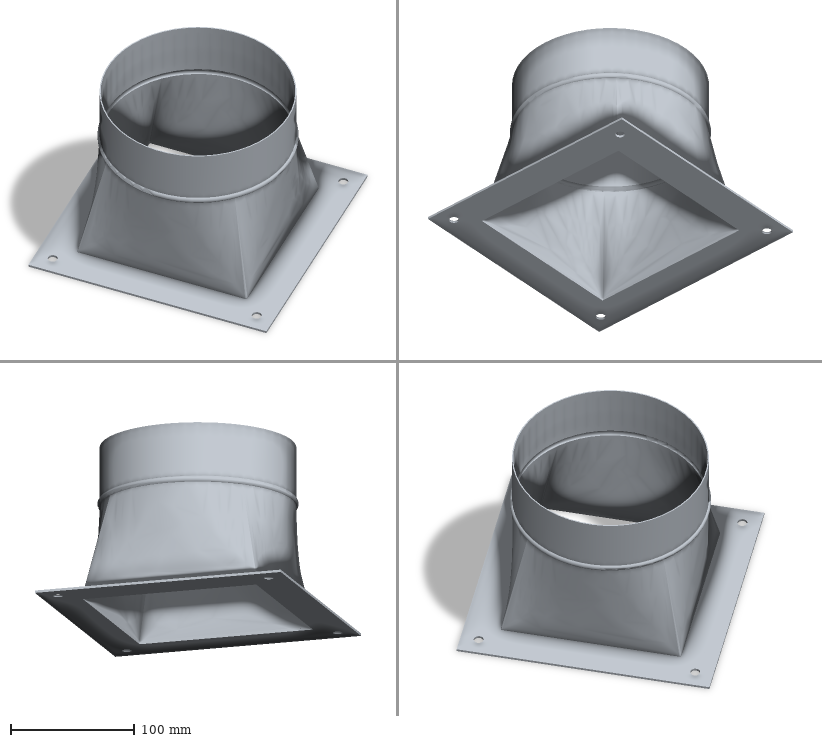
import cadquery as cq
import math

PLATE_SIDE = 210.0
TOTAL_HEIGHT = 140.0

PLATE_THICKNESS = 2.0
HOLE_DIAMETER = 8.0
HOLE_SPACING = 180.0

WALL = 1.0
LIP_HEIGHT = 0.52
SQUARE_SIDE = 150.0
CORNER_RADIUS = 1.5
TUBE_DIAMETER = 160.0
CORNER_ARC_ANGLE = 0.2

BEAD_HEIGHT = 5.2
BEAD_BULGE = 1.7
BEAD_MIDDLE = 92.8

BEAD_BOTTOM = BEAD_MIDDLE - BEAD_HEIGHT / 2
LIP_TOP = PLATE_THICKNESS + LIP_HEIGHT
TUBE_RADIUS = TUBE_DIAMETER / 2


def square_wire(inset, z):
    """Rounded square of straight sides and corner arcs, starting at the +X side."""
    half = SQUARE_SIDE / 2 - inset
    radius = CORNER_RADIUS - inset
    straight = half - radius
    diagonal = straight + radius * math.cos(math.radians(45))
    outline = cq.Workplane("XY", origin=(0, 0, z)).moveTo(half, -straight)
    outline = outline.lineTo(half, straight).threePointArc((diagonal, diagonal), (straight, half))
    outline = outline.lineTo(-straight, half).threePointArc((-diagonal, diagonal), (-half, straight))
    outline = outline.lineTo(-half, -straight).threePointArc((-diagonal, -diagonal), (-straight, -half))
    outline = outline.lineTo(straight, -half).threePointArc((diagonal, -diagonal), (half, -straight))
    return outline.close().val()


def round_wire(inset, z):
    """Circle cut into the same eight pieces as the rounded square."""
    radius = TUBE_RADIUS - inset

    def point(angle):
        return (radius * math.cos(math.radians(angle)), radius * math.sin(math.radians(angle)))

    half_corner = CORNER_ARC_ANGLE / 2
    outline = cq.Workplane("XY", origin=(0, 0, z)).moveTo(*point(-45 + half_corner))
    for side in range(4):
        middle = 90 * side
        outline = outline.threePointArc(point(middle), point(middle + 45 - half_corner))
        outline = outline.threePointArc(point(middle + 45), point(middle + 45 + half_corner))
    return outline.wire().val()


def transition_block(inset):
    """Solid that blends the square end into the round end, moved inwards by inset."""
    wires = [square_wire(inset, LIP_TOP), round_wire(inset, BEAD_BOTTOM)]
    return cq.Workplane(cq.Solid.makeLoft(wires, True))


def square_block(inset, bottom, height):
    """Upright solid on the square end's outline, moved inwards by inset."""
    outline = square_wire(inset, bottom)
    return cq.Workplane(cq.Solid.extrudeLinear(outline, [], cq.Vector(0, 0, height)))


def make_lip():
    """Short straight collar at the foot of the transition."""
    outside = square_block(0, PLATE_THICKNESS, LIP_HEIGHT)
    return outside.cut(square_block(WALL, PLATE_THICKNESS, LIP_HEIGHT))


def make_beaded_tube():
    """Round end: a bead pressed outwards at the foot of a plain tube."""
    outer = TUBE_RADIUS
    inner = TUBE_RADIUS - WALL
    bead_top = BEAD_MIDDLE + BEAD_HEIGHT / 2
    profile = cq.Workplane("XZ").moveTo(inner, BEAD_BOTTOM).lineTo(outer, BEAD_BOTTOM)
    profile = profile.threePointArc((outer + BEAD_BULGE, BEAD_MIDDLE), (outer, bead_top))
    profile = profile.lineTo(outer, TOTAL_HEIGHT).lineTo(inner, TOTAL_HEIGHT).lineTo(inner, bead_top)
    profile = profile.threePointArc((inner + BEAD_BULGE, BEAD_MIDDLE), (inner, BEAD_BOTTOM))
    return profile.close().revolve(360, (0, 0, 0), (0, 1, 0))


def make_duct():
    """Lip, transition and beaded tube as one sheet-metal piece."""
    transition = transition_block(0).cut(transition_block(WALL))
    return make_lip().union(transition).union(make_beaded_tube())


def make_plate():
    """Flange plate with an opening that matches the inside of the duct's square end."""
    plate = cq.Workplane("XY").rect(PLATE_SIDE, PLATE_SIDE).extrude(PLATE_THICKNESS)
    plate = plate.cut(square_block(WALL, 0, PLATE_THICKNESS))
    return (
        plate.faces(">Z").workplane()
        .rect(HOLE_SPACING, HOLE_SPACING, forConstruction=True)
        .vertices().hole(HOLE_DIAMETER)
    )


plate = make_plate()
duct = make_duct()
result = cq.Compound.makeCompound([plate.val(), duct.val()])